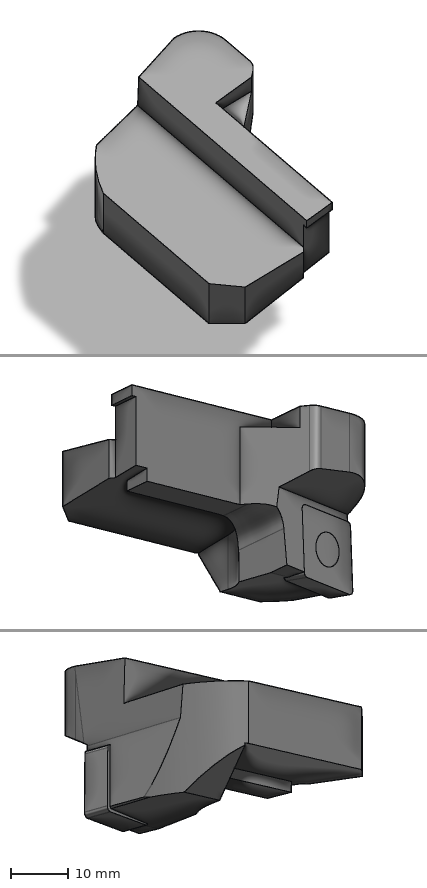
import cadquery as cq
import math

LENGTH = 48.0
DEPTH = 35.7
HEIGHT = 28.5
REACH = 143.95

RAIL_FRONT = 19.0
RAIL_BACK = 25.05
DECK_FRONT_Z = 22.95
DECK_BACK_Z = 20.3
DECK_SLOPE = (DECK_BACK_Z - DECK_FRONT_Z) / RAIL_FRONT
RAIL_LIP_BOTTOM = 26.5
RAIL_LIP_OVERHANG = 0.8

BLOCK_BOTTOM_Z = 11.7
BLOCK_BOTTOM_SLOPE = 0.08
FRONT_CHAMFER = 4.45
LEG_FRONT_Y = 6.65
LEG_FRONT_Z = 2.6
LEG_FLAT_Y = 23.5
LEG_BOTTOM_Z = 0.75
NOSE_ARC_START = (3.15, 13.35)
NOSE_ARC_MIDDLE = (7.0, 6.9)
NOSE_ARC_END = (16.3, 0)

LEG_STEP_X = 15.75
LEG_STEP_Y = RAIL_FRONT
LEG_STEP_RADIUS = 10.05

PAD_BOTTOM_Z = 11.3
PAD_END_X = 44.75
LEG_END_X = 17.1
LEG_END_DRAFT = 12.5
LEG_END_RADIUS = 5.5

HEAD_LEFT_X = 2.5
HEAD_RADIUS = 6.5
HEAD_CORNER_X = 16.2
HEAD_CORNER_RADIUS = 2.3
HEAD_FOOT_X = 24.75
SHELF_X = 18.0
SHELF_FRONT_Z = 25.7

UPPER_SIDE_POINT = (4.7, RAIL_FRONT, HEIGHT)
UPPER_SIDE_PER_Y = 0.213
UPPER_SIDE_PER_Z = 0.035
LOWER_SIDE_POINT = (6.7, 7.25, 15.7)
LOWER_SIDE_PER_Y = 0.197
LOWER_SIDE_PER_Z = 0.165

NOSE_BEVEL = 0.5

HEAD_UNDERSIDE_Z = 13.85
HEAD_UNDERSIDE_SLOPE = 0.47

INSERT_TIP = (-0.135, 24.2, 0)
INSERT_LEAD = 13.3
INSERT_TILT = 6.1
INSERT_ANGLE = 80.0
INSERT_SIDE = 12.9
INSERT_THICKNESS = 4.8
INSERT_RADIUS = 0.8
INSERT_HOLE = 6.15

lead = math.radians(INSERT_LEAD)
tilt = math.radians(INSERT_TILT)
INSERT_EDGE = cq.Vector(math.cos(lead), math.sin(lead), 0)
INSERT_AXIS = cq.Vector(
    math.sin(lead) * math.cos(tilt), -math.cos(lead) * math.cos(tilt), math.sin(tilt)
)
INSERT_PLANE = cq.Plane(origin=INSERT_TIP, xDir=INSERT_EDGE, normal=INSERT_AXIS)


def half_space(point, outward):
    """Large block that starts at a plane through point and fills its outward side."""
    plane = cq.Plane(origin=point, normal=outward)
    return cq.Workplane(plane).rect(REACH, REACH).extrude(REACH)


def along_x(points, start, end):
    """Prism between two X positions with a cross-section given as (Y, Z) points."""
    return cq.Workplane("YZ", origin=(start, 0, 0)).polyline(points).close().extrude(end - start)


def make_side_profile():
    return along_x(
        [
            (0, BLOCK_BOTTOM_Z),
            (LEG_FRONT_Y, LEG_FRONT_Z),
            (LEG_FLAT_Y, LEG_BOTTOM_Z),
            (DEPTH, LEG_BOTTOM_Z),
            (DEPTH, HEIGHT),
            (RAIL_FRONT, HEIGHT),
            (RAIL_FRONT, DECK_BACK_Z),
            (0, DECK_FRONT_Z),
        ],
        -LENGTH,
        LENGTH,
    )


def make_plan():
    """Outline of the holder seen from above, without the rail's end lip."""
    rail_end = LENGTH - RAIL_LIP_OVERHANG
    head_arc_y = DEPTH - HEAD_RADIUS
    arc_mid = HEAD_RADIUS * (1 - math.sqrt(0.5))
    outline = (
        cq.Workplane("XY")
        .moveTo(*NOSE_ARC_START)
        .threePointArc(NOSE_ARC_MIDDLE, NOSE_ARC_END)
        .lineTo(LENGTH - FRONT_CHAMFER, 0)
        .lineTo(LENGTH, FRONT_CHAMFER)
        .lineTo(LENGTH, RAIL_FRONT - RAIL_LIP_OVERHANG)
        .lineTo(rail_end, RAIL_FRONT)
        .lineTo(rail_end, RAIL_BACK)
        .lineTo(HEAD_FOOT_X, RAIL_BACK)
        .lineTo(HEAD_CORNER_X, DEPTH)
        .lineTo(HEAD_LEFT_X + HEAD_RADIUS, DEPTH)
        .threePointArc((HEAD_LEFT_X + arc_mid, DEPTH - arc_mid), (HEAD_LEFT_X, head_arc_y))
        .lineTo(HEAD_LEFT_X, RAIL_BACK)
        .lineTo(0, RAIL_BACK)
        .close()
        .extrude(HEIGHT)
    )
    corner = cq.selectors.NearestToPointSelector((HEAD_CORNER_X, DEPTH, HEIGHT / 2))
    return outline.edges("|Z").edges(corner).fillet(HEAD_CORNER_RADIUS)


def make_rail_lip():
    return cq.Workplane("XY").box(
        RAIL_LIP_OVERHANG,
        RAIL_BACK - RAIL_FRONT,
        HEIGHT - RAIL_LIP_BOTTOM,
        centered=False,
    ).translate((LENGTH - RAIL_LIP_OVERHANG, RAIL_FRONT, RAIL_LIP_BOTTOM))


def make_shelf_cut():
    """Space above the small triangular shelf, which slopes like the deck."""
    shelf_back_z = SHELF_FRONT_Z + DECK_SLOPE * (DEPTH - RAIL_BACK)
    return along_x(
        [(RAIL_BACK, SHELF_FRONT_Z), (DEPTH, shelf_back_z), (DEPTH, HEIGHT), (RAIL_BACK, HEIGHT)],
        SHELF_X,
        LENGTH,
    )


def make_side_cut():
    """Space left of the two side faces, which meet in a concave edge."""
    upper = half_space(UPPER_SIDE_POINT, (-1, -UPPER_SIDE_PER_Y, UPPER_SIDE_PER_Z))
    lower = half_space(LOWER_SIDE_POINT, (-1, -LOWER_SIDE_PER_Y, LOWER_SIDE_PER_Z))
    return upper.intersect(lower)


def make_nose_bevel_cut():
    """Space below a bevel that runs along the bottom edge of the lower side face."""
    bottom_slope = (LEG_BOTTOM_Z - LEG_FRONT_Z) / (LEG_FLAT_Y - LEG_FRONT_Y)
    side_x, side_y, side_z = LOWER_SIDE_POINT
    edge_x = (
        side_x
        - LOWER_SIDE_PER_Y * (LEG_FLAT_Y - side_y)
        + LOWER_SIDE_PER_Z * (LEG_BOTTOM_Z - side_z)
    )
    bevel_point = (edge_x + NOSE_BEVEL, LEG_FLAT_Y, LEG_BOTTOM_Z)
    return half_space(bevel_point, (-1, bottom_slope - LOWER_SIDE_PER_Y, -1))


def make_rear_cut():
    """Space behind the leg, flush with the insert face, and under the head."""
    behind = half_space(INSERT_TIP, INSERT_AXIS.multiply(-1))
    rise_to_line = (HEAD_UNDERSIDE_Z - INSERT_TIP[2]) * math.tan(tilt) / math.cos(lead)
    edge_point = (INSERT_TIP[0], INSERT_TIP[1] + rise_to_line, HEAD_UNDERSIDE_Z)
    slope = HEAD_UNDERSIDE_SLOPE
    below = half_space(edge_point, (-slope * math.tan(lead), slope, -1))
    return behind.intersect(below)


def make_front_undercut():
    """Space under the front block and beyond the pad, with a sloping roof."""
    plan = (
        cq.Workplane("XY")
        .polyline(
            [
                (LEG_STEP_X, 0),
                (LENGTH, 0),
                (LENGTH, DEPTH),
                (PAD_END_X, DEPTH),
                (PAD_END_X, LEG_STEP_Y),
                (LEG_STEP_X, LEG_STEP_Y),
            ]
        )
        .close()
        .extrude(HEIGHT)
    )
    corner = cq.selectors.NearestToPointSelector((LEG_STEP_X, LEG_STEP_Y, HEIGHT / 2))
    plan = plan.edges("|Z").edges(corner).fillet(LEG_STEP_RADIUS)
    roof_back_z = BLOCK_BOTTOM_Z + BLOCK_BOTTOM_SLOPE * DEPTH
    roof = along_x([(0, 0), (DEPTH, 0), (DEPTH, roof_back_z), (0, BLOCK_BOTTOM_Z)], 0, LENGTH)
    return plan.intersect(roof)


def make_leg_end_cut():
    """Space below the pad, joined to the drafted leg end by a large round."""
    top_x = LEG_END_X + (PAD_BOTTOM_Z - LEG_BOTTOM_Z) * math.tan(math.radians(LEG_END_DRAFT))
    prism = (
        cq.Workplane("XZ")
        .polyline(
            [
                (LEG_END_X, LEG_BOTTOM_Z),
                (LENGTH, LEG_BOTTOM_Z),
                (LENGTH, PAD_BOTTOM_Z),
                (top_x, PAD_BOTTOM_Z),
            ]
        )
        .close()
        .extrude(-DEPTH)
    )
    corner = cq.selectors.NearestToPointSelector((top_x, DEPTH / 2, PAD_BOTTOM_Z))
    return prism.edges("|Y").edges(corner).fillet(LEG_END_RADIUS)


def make_insert():
    """Rhombic plate with rounded corners and a central hole."""
    angle = math.radians(INSERT_ANGLE)
    run = INSERT_SIDE * math.cos(angle)
    rise = INSERT_SIDE * math.sin(angle)
    plate = (
        cq.Workplane(INSERT_PLANE)
        .polyline([(0, 0), (INSERT_SIDE, 0), (INSERT_SIDE + run, rise), (run, rise)])
        .close()
        .extrude(INSERT_THICKNESS)
        .edges(cq.selectors.ParallelDirSelector(INSERT_AXIS))
        .fillet(INSERT_RADIUS)
    )
    hole = (
        cq.Workplane(INSERT_PLANE)
        .center((INSERT_SIDE + run) / 2, rise / 2)
        .circle(INSERT_HOLE / 2)
        .extrude(INSERT_THICKNESS)
    )
    return plate.cut(hole)


def make_holder(seated_insert):
    """Holder body; a stud stays in the insert hole, flush with the insert face."""
    body = make_side_profile().intersect(make_plan()).union(make_rail_lip())
    body = body.cut(make_shelf_cut()).cut(make_side_cut()).cut(make_rear_cut())
    body = body.cut(make_nose_bevel_cut()).cut(make_front_undercut()).cut(make_leg_end_cut())
    return body.cut(seated_insert)


insert = make_insert()
holder = make_holder(insert)

result = cq.Compound.makeCompound([holder.val(), insert.val()])